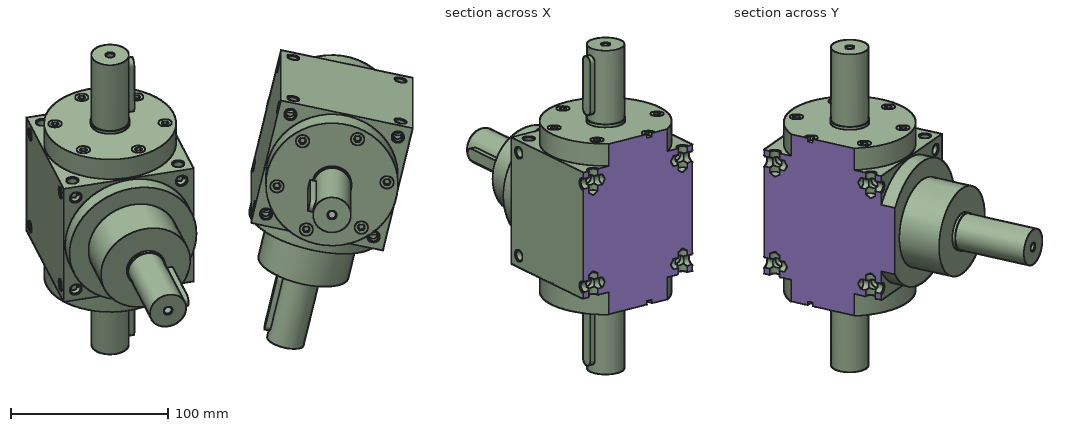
import cadquery as cq
import math


block_size = 86.0
block_half = block_size / 2

mount_core_dia = 6.65
mount_thread_dia = 8.0
mount_hole_depth = 15.0
mount_hole_spacing = 70.0

flange_dia = 84.0
cover_thickness = 15.0
input_flange_thickness = 10.0
hub_dia = 59.0
hub_length = 29.0

shaft_dia = 24.0
collar_dia = 25.0
collar_length = 2.0
output_shaft_end = 110.0
input_shaft_end = 134.0
center_core_dia = 4.92
center_thread_dia = 6.0
center_hole_depth = 16.0

screw_count = 6
screw_circle_dia = 70.0
screw_start_angle = 15.0
screw_head_dia = 8.5
screw_head_recess = 0.1
socket_across_flats = 4.0
socket_across_corners = socket_across_flats / math.cos(math.pi / 6)
socket_depth = 2.5

key_width = 8.0
key_height = 7.0
key_length = 40.0
key_top = 15.0
key_end_gap = 5.0

drill_tip_angle = 118.0

cover_face = block_half + cover_thickness
input_flange_face = block_half + input_flange_thickness
hub_face = input_flange_face + hub_length

UP, DOWN = (0, 0, 1), (0, 0, -1)
LEFT, RIGHT = (-1, 0, 0), (1, 0, 0)
FRONT, BACK = (0, -1, 0), (0, 1, 0)

shaft_ends = [
    (UP, cover_face, output_shaft_end),
    (DOWN, cover_face, output_shaft_end),
    (RIGHT, hub_face, input_shaft_end),
]


def face_plane(normal, distance):
    """Plane facing along a main axis, at a distance from the origin."""
    x_direction = RIGHT if normal[0] == 0 else BACK
    origin = cq.Vector(*normal) * distance
    return cq.Plane(origin.toTuple(), x_direction, normal)


def cylinder(normal, start, end, diameter):
    return cq.Workplane(face_plane(normal, start)).circle(diameter / 2).extrude(end - start)


def tapped_hole(core_dia, thread_dia, depth):
    """Cutter for a blind hole down -Z: 45 degree countersink, core bore and drill tip."""
    core_radius = core_dia / 2
    mouth_radius = thread_dia / 2
    countersink_depth = mouth_radius - core_radius
    tip_depth = depth + core_radius / math.tan(math.radians(drill_tip_angle / 2))
    profile = [
        (0, 0),
        (mouth_radius, 0),
        (core_radius, -countersink_depth),
        (core_radius, -depth),
        (0, -tip_depth),
    ]
    return cq.Workplane("XZ").polyline(profile).close().revolve(360, (0, 0), (0, 1)).val()


def make_block():
    block = cq.Workplane("XY").box(block_size, block_size, block_size)
    cutter = tapped_hole(mount_core_dia, mount_thread_dia, mount_hole_depth)
    for normal in (UP, DOWN, LEFT, RIGHT, FRONT, BACK):
        holes = (
            cq.Workplane(face_plane(normal, block_half))
            .rect(mount_hole_spacing, mount_hole_spacing, forConstruction=True)
            .vertices()
            .eachpoint(cutter, useLocalCoordinates=True)
        )
        block = block.cut(holes)
    return block


def make_top_cover():
    cover = cylinder(UP, block_half, cover_face, flange_dia)
    screw_centers = cq.Workplane(face_plane(UP, cover_face)).polarArray(
        screw_circle_dia / 2, screw_start_angle, 360, screw_count
    )
    recess = cq.Workplane("XY").circle(screw_head_dia / 2).extrude(-screw_head_recess)
    socket = cq.Workplane("XY").polygon(6, socket_across_corners).extrude(-socket_depth)
    return cover.cut(screw_centers.eachpoint(recess.union(socket).val(), useLocalCoordinates=True))


def make_input_flange():
    flange = cylinder(RIGHT, block_half, input_flange_face, flange_dia)
    return flange.union(cylinder(RIGHT, input_flange_face, hub_face, hub_dia))


def make_shaft(normal, start, end):
    collar_end = start + collar_length
    shaft = cylinder(normal, start, collar_end, collar_dia)
    shaft = shaft.union(cylinder(normal, collar_end, end, shaft_dia))
    cutter = tapped_hole(center_core_dia, center_thread_dia, center_hole_depth)
    return shaft.cut(cq.Workplane(face_plane(normal, end)).eachpoint(cutter, useLocalCoordinates=True))


def make_key(normal, shaft_end):
    """Round-ended key on the +Y side of a shaft end, lying along the shaft."""
    center = cq.Vector(*normal) * (shaft_end - key_end_gap - key_length / 2)
    base = center + cq.Vector(0, key_top - key_height, 0)
    plane = cq.Plane(base.toTuple(), normal, BACK)
    return cq.Workplane(plane).slot2D(key_length, key_width).extrude(key_height)


def make_housing(keys):
    top_cover = make_top_cover()
    housing = make_block().union(top_cover).union(top_cover.mirror("XY")).union(make_input_flange())
    for normal, start, end in shaft_ends:
        housing = housing.union(make_shaft(normal, start, end))
    for key in keys:
        housing = housing.cut(key)
    return housing


keys = [make_key(normal, end) for normal, start, end in shaft_ends]
housing = make_housing(keys)

result = cq.Compound.makeCompound([housing.val(), *[key.val() for key in keys]])